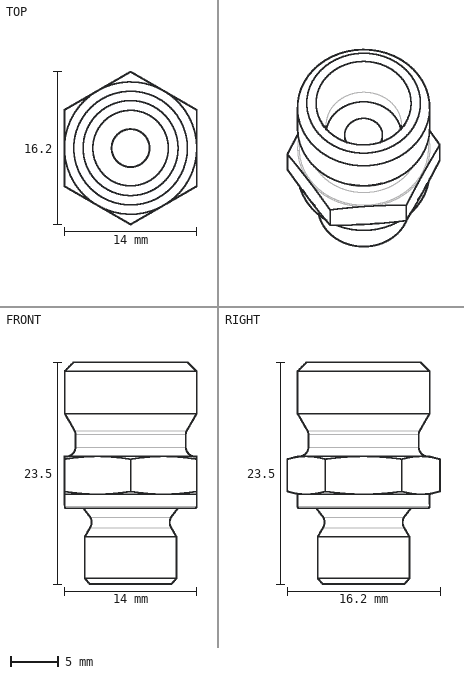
import cadquery as cq
import math

total_height = 23.5
body_radius = 14.0 / 2

hex_bottom = 9.52
hex_top = 13.51
hex_corner_radius = body_radius / math.cos(math.radians(30))
hex_chamfer_angle = 15.0

collar_bottom = 8.01
collar_edge_radius = 0.2

upper_rim_chamfer = 0.99
upper_neck_radius = 11.7 / 2
upper_stud_bottom = 18.05
upper_neck_fillet = 0.99
undercut_angle = 30.0
upper_blend_radius = 0.82

lower_stud_radius = 9.73 / 2
lower_stud_top = 5.0
lower_end_chamfer_height = 0.6
lower_end_chamfer_width = 0.55
groove_cone_bottom = 6.0
groove_cone_top = 7.1
groove_mouth_radius = 5.0

bore_radius = 4.0 / 2
socket_mouth_radius = 10.05 / 2
socket_floor_radius = 8.0 / 2
socket_cone_half_angle = 12.0
socket_floor = 16.45


def make_turned_body():
    """Revolve the outer profile of the studs, neck, groove and collar."""
    slope = math.tan(math.radians(undercut_angle))

    groove_radius = lower_stud_radius - (groove_cone_bottom - lower_stud_top) * slope
    groove_half_height = (groove_cone_top - groove_cone_bottom) / 2
    groove_arc_depth = groove_half_height * math.tan(math.radians(undercut_angle / 2))
    groove_middle = groove_cone_bottom + groove_half_height

    half_turn = math.radians(undercut_angle / 2)
    cone_end = upper_stud_bottom - (body_radius - upper_neck_radius) / slope
    blend_length = upper_blend_radius * math.tan(half_turn)
    blend_start_radius = upper_neck_radius + blend_length * math.sin(2 * half_turn)
    blend_start_height = cone_end + blend_length * math.cos(2 * half_turn)
    blend_middle_radius = upper_neck_radius + upper_blend_radius * (1 - math.cos(half_turn))
    blend_end_height = cone_end - blend_length
    blend_middle_height = blend_end_height + upper_blend_radius * math.sin(half_turn)

    diagonal = math.sqrt(0.5)
    fillet_inset = upper_neck_fillet * (1 - diagonal)
    edge_inset = collar_edge_radius * (1 - diagonal)

    profile = (
        cq.Workplane("XZ")
        .lineTo(lower_stud_radius - lower_end_chamfer_width, 0)
        .lineTo(lower_stud_radius, lower_end_chamfer_height)
        .lineTo(lower_stud_radius, lower_stud_top)
        .lineTo(groove_radius, groove_cone_bottom)
        .threePointArc((groove_radius - groove_arc_depth, groove_middle), (groove_radius, groove_cone_top))
        .lineTo(groove_mouth_radius, collar_bottom)
        .lineTo(body_radius - collar_edge_radius, collar_bottom)
        .threePointArc(
            (body_radius - edge_inset, collar_bottom + edge_inset),
            (body_radius, collar_bottom + collar_edge_radius),
        )
        .lineTo(body_radius, hex_top)
        .lineTo(upper_neck_radius + upper_neck_fillet, hex_top)
        .threePointArc(
            (upper_neck_radius + fillet_inset, hex_top + fillet_inset),
            (upper_neck_radius, hex_top + upper_neck_fillet),
        )
        .lineTo(upper_neck_radius, blend_end_height)
        .threePointArc(
            (blend_middle_radius, blend_middle_height),
            (blend_start_radius, blend_start_height),
        )
        .lineTo(body_radius, upper_stud_bottom)
        .lineTo(body_radius, total_height - upper_rim_chamfer)
        .lineTo(body_radius - upper_rim_chamfer, total_height)
        .lineTo(0, total_height)
        .close()
    )
    return profile.revolve(360, (0, 0, 0), (0, 1, 0))


def make_hexagon():
    """Hexagonal prism with corners on Y, both ends chamfered by a cone."""
    prism = (
        cq.Workplane("XY", origin=(0, 0, hex_bottom))
        .transformed(rotate=(0, 0, 90))
        .polygon(6, 2 * hex_corner_radius)
        .extrude(hex_top - hex_bottom)
    )
    corner_drop = (hex_corner_radius - body_radius) * math.tan(math.radians(hex_chamfer_angle))
    envelope = (
        cq.Workplane("XZ")
        .moveTo(0, hex_bottom)
        .lineTo(body_radius, hex_bottom)
        .lineTo(hex_corner_radius, hex_bottom + corner_drop)
        .lineTo(hex_corner_radius, hex_top - corner_drop)
        .lineTo(body_radius, hex_top)
        .lineTo(0, hex_top)
        .close()
        .revolve(360, (0, 0, 0), (0, 1, 0))
    )
    return prism.intersect(envelope)


def make_bore():
    """Through bore opening into a cylindrical socket with a conical mouth."""
    taper = math.tan(math.radians(socket_cone_half_angle))
    cone_bottom = total_height - (socket_mouth_radius - socket_floor_radius) / taper
    return (
        cq.Workplane("XZ")
        .lineTo(bore_radius, 0)
        .lineTo(bore_radius, socket_floor)
        .lineTo(socket_floor_radius, socket_floor)
        .lineTo(socket_floor_radius, cone_bottom)
        .lineTo(socket_mouth_radius, total_height)
        .lineTo(0, total_height)
        .close()
        .revolve(360, (0, 0, 0), (0, 1, 0))
    )


result = make_turned_body().union(make_hexagon()).cut(make_bore())